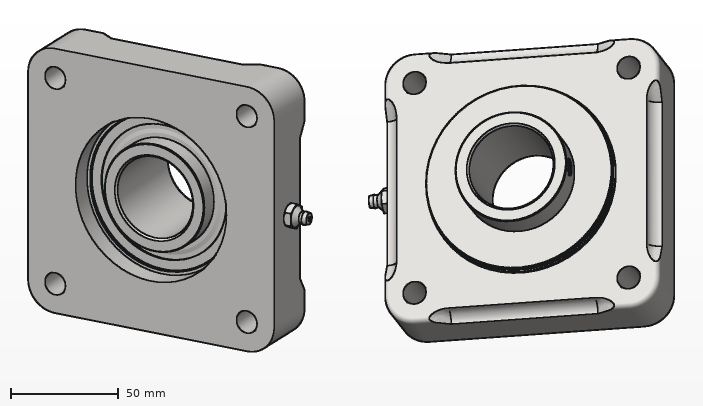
import cadquery as cq
import math


plate_side = 131.0
plate_half = plate_side / 2
plate_thickness = 30.5
corner_radius = 14.3
back_edge_radius = 2.3
hole_spacing = 102.0
hole_diameter = 11.0

hollow_radius = 6.0
hollow_straight = 69.9
ramp_length = 9.7

base_ring_radius = 45.0
base_ring_end = 32.2
groove_radius = 44.0
groove_end = 33.1
cover_radius = 44.5
cover_end = 36.0
cover_chamfer = 0.4

seat_radius = 40.2
seat_depth = 10.8
lip_radius = 38.6
lip_chamfer = 0.4
outer_ring_face = 11.9
seal_radius = 33.2
seal_face = 12.8
slinger_outer_radius = 30.8
slinger_inner_radius = 28.8
slinger_face = 12.4

inner_ring_start = 3.0
inner_ring_end = 52.3
inner_ring_radius = 26.5
inner_ring_chamfer = 0.4
bore_radius = 20.0
bore_chamfer = 1.0

screw_y = 45.3
screw_diameter = 8.0
screw_socket_corners = 4.8
screw_socket_depth = 2.8
screw_recess = 0.7

nipple_y = 14.3
nipple_hex_corners = 12.4
nipple_hex_length = 3.8
nipple_hex_chamfer = 0.9
nipple_cone_radius = 5.3
nipple_neck_radius = 2.8
nipple_neck_end = 6.5
nipple_bulge_radius = 3.3
nipple_bulge_at = 8.2
nipple_head_radius = 2.8
nipple_head_end = 10.5
nipple_tip_radius = 1.0
nipple_length = 142 - plate_side


def revolve_about_y(points):
    """Solid of revolution from (radius, y) points."""
    return cq.Workplane("XY").polyline(points).close().revolve(360, (0, 0, 0), (0, 1, 0))


def cylinder_y(radius, start, end):
    return cq.Workplane("XZ", origin=(0, start, 0)).circle(radius).extrude(start - end)


def make_plate():
    plate = (
        cq.Workplane("XZ")
        .rect(plate_side, plate_side)
        .extrude(-plate_thickness)
        .edges("|Y")
        .fillet(corner_radius)
        .faces(">Y")
        .edges()
        .fillet(back_edge_radius)
    )
    holes = (
        cq.Workplane("XZ")
        .rect(hole_spacing, hole_spacing, forConstruction=True)
        .vertices()
        .circle(hole_diameter / 2)
        .extrude(-plate_thickness)
    )
    return plate.cut(holes)


def hollow_section(x, rise):
    """Quarter disc across the +Z back edge, lifted by rise along Y."""
    bottom = plate_thickness - hollow_radius + rise
    top = plate_thickness + rise
    middle = hollow_radius * math.sqrt(0.5)
    return (
        cq.Workplane("YZ", origin=(x, 0, 0))
        .moveTo(top, plate_half)
        .lineTo(bottom, plate_half)
        .threePointArc((top - middle, plate_half - middle), (top, plate_half - hollow_radius))
        .close()
    )


def make_hollow():
    half = hollow_straight / 2
    hollow = hollow_section(-half, 0).extrude(hollow_straight)
    for side in (-1, 1):
        inner_end = hollow_section(side * half, 0).val()
        outer_end = hollow_section(side * (half + ramp_length), hollow_radius).val()
        ramp = cq.Solid.makeLoft([inner_end, outer_end], True)
        hollow = hollow.union(cq.Workplane(ramp))
    return hollow


def make_cover():
    return revolve_about_y([
        (0, outer_ring_face),
        (seat_radius, outer_ring_face),
        (seat_radius, plate_thickness),
        (base_ring_radius, plate_thickness),
        (base_ring_radius, base_ring_end),
        (groove_radius, base_ring_end),
        (groove_radius, groove_end),
        (cover_radius, groove_end),
        (cover_radius, cover_end - cover_chamfer),
        (cover_radius - cover_chamfer, cover_end),
        (0, cover_end),
    ])


def make_seat():
    """Open space between the plate and the inner ring, down to the seal."""
    return revolve_about_y([
        (0, 0),
        (seat_radius, 0),
        (seat_radius, seat_depth),
        (lip_radius, seat_depth),
        (lip_radius, outer_ring_face - lip_chamfer),
        (lip_radius - lip_chamfer, outer_ring_face),
        (seal_radius, outer_ring_face),
        (seal_radius, seal_face),
        (slinger_outer_radius, seal_face),
        (slinger_inner_radius, slinger_face),
        (0, slinger_face),
    ])


def make_inner_ring():
    ring = cylinder_y(inner_ring_radius, inner_ring_start, inner_ring_end)
    return ring.faces("<Y or >Y").edges().chamfer(inner_ring_chamfer)


def make_bore():
    outer = bore_radius + bore_chamfer
    return revolve_about_y([
        (0, inner_ring_start),
        (outer, inner_ring_start),
        (bore_radius, inner_ring_start + bore_chamfer),
        (bore_radius, inner_ring_end - bore_chamfer),
        (outer, inner_ring_end),
        (0, inner_ring_end),
    ])


def make_screw_recess():
    """Shallow round recess down to the screw face, with a hexagon socket below it."""
    face_x = -inner_ring_radius + screw_recess
    base = cq.Workplane("YZ", origin=(face_x, screw_y, 0))
    recess = base.circle(screw_diameter / 2).extrude(-2 * screw_recess)
    socket = (
        base.transformed(rotate=(0, 0, 90))
        .polygon(6, screw_socket_corners)
        .extrude(screw_socket_depth)
    )
    return recess.union(socket)


def make_nipple():
    hexagon = (
        cq.Workplane("YZ", origin=(plate_half, nipple_y, 0))
        .transformed(rotate=(0, 0, 90))
        .polygon(6, nipple_hex_corners)
        .extrude(nipple_hex_length)
    )
    envelope = (
        cq.Workplane("YZ", origin=(plate_half, nipple_y, 0))
        .circle(nipple_hex_corners / 2)
        .extrude(nipple_hex_length)
        .faces("<X")
        .chamfer(nipple_hex_chamfer)
    )
    head_profile = [
        (0, 0),
        (0, nipple_cone_radius),
        (nipple_hex_length, nipple_cone_radius),
        (nipple_neck_end, nipple_neck_radius),
        (nipple_bulge_at, nipple_bulge_radius),
        (nipple_head_end, nipple_head_radius),
        (nipple_head_end, nipple_tip_radius),
        (nipple_length, nipple_tip_radius),
        (nipple_length, 0),
    ]
    head = (
        cq.Workplane("XY", origin=(plate_half, nipple_y, 0))
        .polyline(head_profile)
        .close()
        .revolve(360, (0, 0, 0), (1, 0, 0))
    )
    return hexagon.intersect(envelope).union(head)


housing = make_plate()
for quarter in range(4):
    housing = housing.cut(make_hollow().rotate((0, 0, 0), (0, 1, 0), 90 * quarter))
housing = housing.union(make_cover()).cut(make_seat())

result = (
    housing.union(make_inner_ring())
    .cut(make_bore())
    .cut(make_screw_recess())
    .union(make_nipple())
)